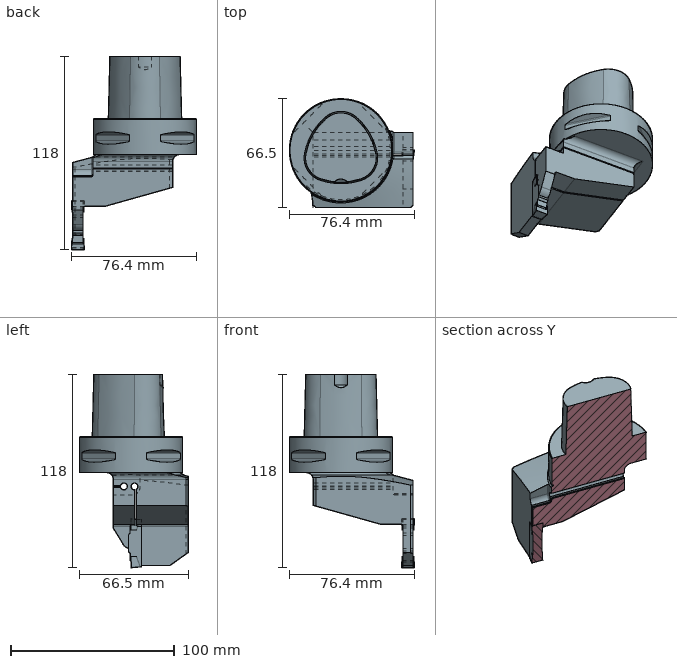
import cadquery as cq
import math


shank_height = 38.0
lobe_reach = 23.7
flat_reach = 20.4
lobe_centre_offset = 9.3
shank_inset = 1.0

notch_radius = 5.3
notch_axis_y = -22.9
notch_depth = 6.4
drill_half_angle = 50

flange_radius = 31.5
flange_height = 22.0
flange_chamfer = 0.5
groove_chord_distance = 28.0
groove_middle_z = -11.8
groove_floor_width = 4.1
groove_mouth_width = 7.5
groove_floor_radius = 0.7

arm_left = -17.0
arm_right = 44.1
arm_front = -35.0
arm_back = 10.9
arm_left_bottom = -41.9
arm_bottom = -53.5
arm_slope_end = 24.2
left_chamfer_x = 1.9
front_chamfer = 1.5
cone_slope = 15
cone_start_radius = 32.2
cone_start_z = -23.4
neck_radius = 30.2
flare_radius = 4.0

blade_thickness = 6.4
blade_left = arm_right - blade_thickness
blade_bottom = -78.7
blade_root_radius = 1.4
jaw_bend = (5.4, -64.7)
jaw_arc_middle = (3.4, -67.3)
jaw_tip_z = -68.2
jaw_back_z = -55.8
blade_corner_y = -23.6
blade_corner_z = -70.6

relief_hole_radius = 2.0
relief_hole_z = -30.3
back_hole_y = 4.4
front_hole_y = -2.1
back_slit_width = 0.7
clamp_slit_width = 1.0
clamp_slit_y = -2.8

pocket_left = 31.9
pocket_front = -5.4
pocket_floor = -35.4
pocket_front_fillet = 4.4
pocket_left_fillet = 0.7

insert_middle_z = -65.0
insert_half_length = 15.0
insert_seat_y = -6.5
insert_crown_y = 1.7
crown_half_length = 4.7
ridge_y = 0.5
ridge_start = 6.1
ridge_end = 10.5
rake_start = 11.3
end_relief = 0.6
head_start = 8.0
head_half_width = 4.0
head_start_half_width = 3.7
head_depth = 5.8
head_side_relief = 0.8
head_corner_radius = 0.5

flange_bottom = -flange_height
insert_middle_x = arm_right - blade_thickness / 2


def polar(radius, degrees):
    angle = math.radians(degrees)
    return (radius * math.cos(angle), radius * math.sin(angle))


def shank_outline(plane, inset):
    """Three lobe arcs joined by three tangent flatter arcs, drawn in by the inset."""
    lobe_radius = lobe_reach - lobe_centre_offset
    reach_gap = flat_reach - lobe_radius
    flat_centre_offset = (lobe_centre_offset**2 - reach_gap**2) / (2 * reach_gap - lobe_centre_offset)
    across = flat_centre_offset * math.sin(math.radians(60))
    along = lobe_centre_offset + flat_centre_offset * math.cos(math.radians(60))
    joint_angle = math.atan2(across, along)
    radius = lobe_radius - inset
    joint_across = radius * math.sin(joint_angle)
    joint_along = lobe_centre_offset + radius * math.cos(joint_angle)
    joint_reach = math.hypot(joint_across, joint_along)
    joint_turn = math.degrees(math.atan2(joint_across, joint_along))

    outline = plane.moveTo(*polar(joint_reach, 90 - joint_turn))
    for lobe in (90, 210, 330):
        outline = outline.threePointArc(
            polar(lobe_reach - inset, lobe), polar(joint_reach, lobe + joint_turn)
        ).threePointArc(
            polar(flat_reach - inset, lobe + 60), polar(joint_reach, lobe + 120 - joint_turn)
        )
    return outline.close()


def make_shank():
    base = shank_outline(cq.Workplane("XY"), 0)
    shank = shank_outline(base.workplane(offset=shank_height), shank_inset).loft(ruled=True)
    cone_depth = notch_radius / math.tan(math.radians(drill_half_angle))
    notch = (
        cq.Workplane("XZ")
        .moveTo(0, shank_height)
        .lineTo(notch_radius, shank_height)
        .lineTo(notch_radius, shank_height - notch_depth)
        .lineTo(0, shank_height - notch_depth - cone_depth)
        .close()
        .revolve(360, (0, 0, 0), (0, 1, 0))
        .translate((0, notch_axis_y, 0))
    )
    return shank.cut(notch)


def make_flange():
    flange = (
        cq.Workplane("XY")
        .circle(flange_radius)
        .extrude(-flange_height)
        .faces(">Z")
        .chamfer(flange_chamfer)
    )
    groove_depth = flange_radius - groove_chord_distance
    flank_slope = (groove_mouth_width - groove_floor_width) / 2 / groove_depth
    cutter_reach = flange_radius + 1.2
    cutter_half_width = groove_floor_width / 2 + flank_slope * (cutter_reach - groove_chord_distance)
    groove = (
        cq.Workplane("XZ")
        .polyline([
            (groove_chord_distance, groove_middle_z - groove_floor_width / 2),
            (cutter_reach, groove_middle_z - cutter_half_width),
            (cutter_reach, groove_middle_z + cutter_half_width),
            (groove_chord_distance, groove_middle_z + groove_floor_width / 2),
        ])
        .close()
        .extrude(flange_radius, both=True)
        .edges("<X")
        .fillet(groove_floor_radius)
    )
    for turn in (45, 135, 225, 315):
        flange = flange.cut(groove.rotate((0, 0, 0), (0, 0, 1), turn))
    return flange


def make_arm_side_profile():
    """Arm and blade outline in X and Z, extruded over the whole arm width."""
    return (
        cq.Workplane("XZ", origin=(0, arm_back, 0))
        .moveTo(arm_left, flange_bottom)
        .lineTo(arm_left, arm_left_bottom)
        .lineTo(arm_slope_end, arm_bottom)
        .lineTo(blade_left - blade_root_radius, arm_bottom)
        .radiusArc((blade_left, arm_bottom - blade_root_radius), blade_root_radius)
        .lineTo(blade_left, blade_bottom)
        .lineTo(arm_right, blade_bottom)
        .lineTo(arm_right, flange_bottom)
        .close()
        .extrude(arm_back - arm_front)
    )


def make_arm_end_profile():
    """Arm and blade outline in Y and Z, extruded over the whole arm length."""
    return (
        cq.Workplane("YZ", origin=(arm_left, 0, 0))
        .moveTo(arm_back, flange_bottom)
        .lineTo(arm_back, jaw_back_z)
        .lineTo(*jaw_bend)
        .threePointArc(jaw_arc_middle, (insert_crown_y, jaw_tip_z))
        .lineTo(insert_seat_y, jaw_tip_z)
        .lineTo(insert_seat_y, blade_bottom)
        .lineTo(blade_corner_y, blade_bottom)
        .lineTo(arm_front, blade_corner_z)
        .lineTo(arm_front, flange_bottom)
        .close()
        .extrude(arm_right - arm_left)
    )


def make_flare():
    """Concave flare under the flange along the left and back sides of the arm."""
    axis_x = arm_left - flare_radius
    axis_y = arm_back + flare_radius
    axis_z = flange_bottom - flare_radius
    length = arm_right - axis_x
    width = axis_y - arm_front
    flare = cq.Workplane("XY", origin=(axis_x, arm_front, axis_z)).box(
        length, width, flare_radius, centered=False
    )
    left_round = cq.Workplane("XZ", origin=(axis_x, axis_y, axis_z)).circle(flare_radius).extrude(width)
    back_round = cq.Workplane("YZ", origin=(axis_x, axis_y, axis_z)).circle(flare_radius).extrude(length)
    return flare.cut(left_round).cut(back_round)


def make_cone_envelope():
    """Everything under the flange that lies within the neck and the cone."""
    outer_radius = math.hypot(arm_right, arm_front) + 1.2
    outer_z = cone_start_z - (outer_radius - cone_start_radius) * math.tan(math.radians(cone_slope))
    floor_z = blade_bottom - 1.2
    return (
        cq.Workplane("XZ")
        .polyline([
            (0, flange_bottom),
            (neck_radius, flange_bottom),
            (cone_start_radius, cone_start_z),
            (outer_radius, outer_z),
            (outer_radius, floor_z),
            (0, floor_z),
        ])
        .close()
        .revolve(360, (0, 0, 0), (0, 1, 0))
    )


def make_corner_cutter(corner_x, inward_x):
    """Upright prism that chamfers one front corner of the arm."""
    return (
        cq.Workplane("XY")
        .polyline([
            (corner_x, arm_front),
            (corner_x + inward_x, arm_front),
            (corner_x, arm_front + front_chamfer),
        ])
        .close()
        .extrude(blade_bottom)
    )


def make_clamp_cuts():
    """Relief holes along X with the back slit and the clamping slit that start from them."""
    length = arm_right - arm_left
    start = cq.Workplane("YZ", origin=(arm_left, 0, 0))
    holes = start.pushPoints(
        [(back_hole_y, relief_hole_z), (front_hole_y, relief_hole_z)]
    ).circle(relief_hole_radius).extrude(length)
    back_slit_length = arm_back - back_hole_y
    back_slit = (
        start.center(back_hole_y + back_slit_length / 2, relief_hole_z)
        .rect(back_slit_length, back_slit_width)
        .extrude(length)
    )
    clamp_slit_bottom = arm_bottom - blade_root_radius
    clamp_slit_length = relief_hole_z - clamp_slit_bottom
    clamp_slit = (
        cq.Workplane("YZ", origin=(arm_left, 0, 0))
        .center(clamp_slit_y, clamp_slit_bottom + clamp_slit_length / 2)
        .rect(clamp_slit_width, clamp_slit_length)
        .extrude(length)
    )
    return holes.union(back_slit).union(clamp_slit)


def make_pocket():
    """Pocket open to the top, back and right, with rounded feet of its front and left walls."""
    pocket = cq.Workplane("XY", origin=(pocket_left, pocket_front, pocket_floor)).box(
        arm_right - pocket_left,
        arm_back + flare_radius - pocket_front,
        flange_bottom - pocket_floor,
        centered=False,
    )
    pocket = pocket.edges("<Y and <Z").fillet(pocket_front_fillet)
    return pocket.edges("<X and <Z").fillet(pocket_left_fillet)


def make_arm():
    arm = make_arm_side_profile().intersect(make_arm_end_profile())
    arm = arm.union(make_flare())
    arm = arm.intersect(make_cone_envelope())
    arm = arm.cut(make_corner_cutter(arm_left, left_chamfer_x))
    arm = arm.cut(make_corner_cutter(arm_right, -front_chamfer))
    return arm.cut(make_pocket()).cut(make_clamp_cuts())


def insert_profile(width):
    """Mirrored side outline of the insert, given in Y and Z and extruded to a width in X."""
    bend = (insert_crown_y + ridge_y) / 2 + 0.2
    bend_z = (crown_half_length + ridge_start) / 2
    return (
        cq.Workplane("YZ", origin=(insert_middle_x, 0, insert_middle_z))
        .moveTo(insert_seat_y, 0)
        .lineTo(insert_seat_y, insert_half_length - end_relief)
        .lineTo(0, insert_half_length)
        .lineTo(0, rake_start)
        .lineTo(ridge_y, ridge_end)
        .lineTo(ridge_y, ridge_start)
        .threePointArc((bend, bend_z), (insert_crown_y, crown_half_length))
        .lineTo(insert_crown_y, 0)
        .mirrorX()
        .extrude(width / 2, both=True)
    )


def make_insert_head():
    """Upper cutting head, narrowing away from its cutting edge."""

    def section(plane, half_width):
        back_half_width = half_width - head_side_relief
        return plane.polyline([
            (-half_width, 0),
            (half_width, 0),
            (back_half_width, -head_depth),
            (-back_half_width, -head_depth),
        ]).close()

    start = cq.Workplane("XY", origin=(insert_middle_x, 0, insert_middle_z + head_start))
    head = section(start, head_start_half_width)
    head = section(head.workplane(offset=insert_half_length - head_start), head_half_width)
    head = head.loft(ruled=True).faces(">Z").edges("not |X").fillet(head_corner_radius)
    return head.intersect(insert_profile(2 * head_half_width))


def make_insert():
    head = make_insert_head()
    lower_head = head.mirror("XY", (0, 0, insert_middle_z))
    return insert_profile(blade_thickness).union(head).union(lower_head)


insert = make_insert()
holder = make_shank().union(make_flange()).union(make_arm()).cut(insert)

result = cq.Compound.makeCompound([holder.val(), insert.val()])